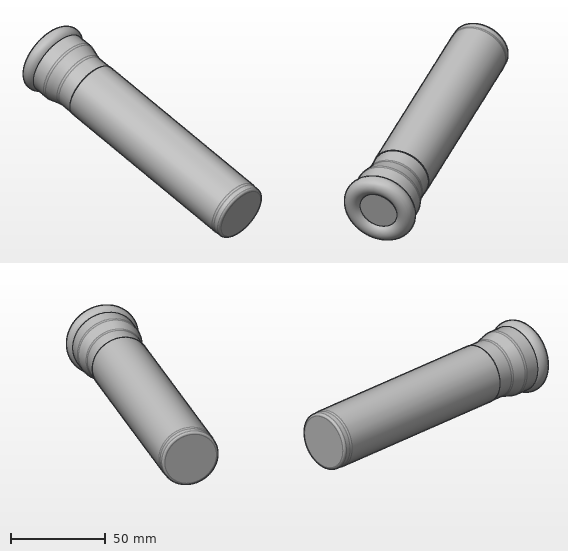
import cadquery as cq
import math

total_length = 150.0
blend_length = 1.4
socket_end = 16.8
neck_start = 26.2
joint_x = 34.6
pipe_chamfer_length = 0.3
tip_start = 146.0

bead_radius = 20.0
bead_section_radius = 5.0
socket_radius = 36.0 / 2
neck_radius = 31.5 / 2
pipe_radius = 32.0 / 2
tip_radius = neck_radius

bead_center_x = bead_section_radius
bead_center_r = bead_radius - bead_section_radius
floor_radius = 10.5
floor_x = bead_center_x - math.sqrt(
    bead_section_radius**2 - (bead_center_r - floor_radius) ** 2
)
bead_end_x = bead_center_x + math.sqrt(
    bead_section_radius**2 - (socket_radius - bead_center_r) ** 2
)


def revolve_about_x(profile):
    """Turn a closed (x, radius) profile once around the X axis."""
    return profile.close().revolve(360, (0, 0, 0), (1, 0, 0))


def make_fitting():
    """Beaded socket with a recessed flat floor, narrowing to the neck."""
    cone_start_x = socket_end + blend_length / 2
    cone_end_x = neck_start - blend_length / 2
    cone_length = cone_end_x - cone_start_x
    cone_drop = socket_radius - neck_radius
    cone_slant = math.hypot(cone_length, cone_drop)
    blend_x = blend_length / 2 * cone_length / cone_slant
    blend_r = blend_length / 2 * cone_drop / cone_slant
    profile = (
        cq.Workplane("XY")
        .moveTo(floor_x, 0)
        .lineTo(floor_x, floor_radius)
        .threePointArc((0, bead_center_r), (bead_end_x, socket_radius))
        .lineTo(cone_start_x - blend_length / 2, socket_radius)
        .tangentArcPoint((cone_start_x + blend_x, socket_radius - blend_r), relative=False)
        .lineTo(cone_end_x - blend_x, neck_radius + blend_r)
        .tangentArcPoint((cone_end_x + blend_length / 2, neck_radius), relative=False)
        .lineTo(joint_x, neck_radius)
        .lineTo(joint_x, 0)
    )
    return revolve_about_x(profile)


def make_pipe():
    """Solid pipe that meets the neck and tapers to a rounded insertion tip."""
    profile = (
        cq.Workplane("XY")
        .moveTo(joint_x, 0)
        .lineTo(joint_x, neck_radius)
        .lineTo(joint_x + pipe_chamfer_length, pipe_radius)
        .lineTo(tip_start - blend_length, pipe_radius)
        .lineTo(tip_start, tip_radius)
        .lineTo(total_length - blend_length, tip_radius)
        .tangentArcPoint((total_length, tip_radius - blend_length), relative=False)
        .lineTo(total_length, 0)
    )
    return revolve_about_x(profile)


fitting = make_fitting()
pipe = make_pipe()

result = cq.Compound.makeCompound([fitting.val(), pipe.val()])